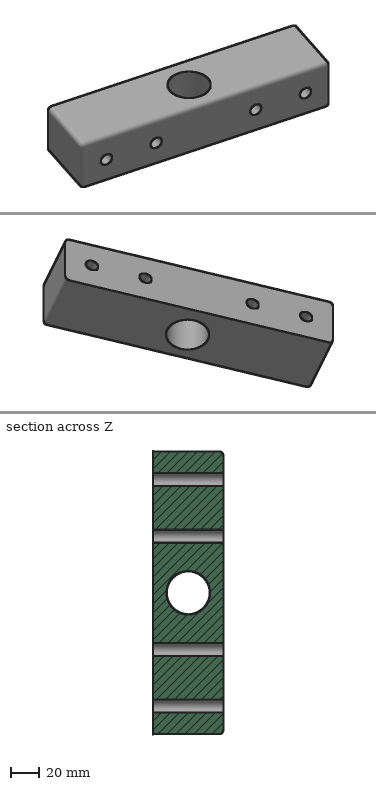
import cadquery as cq

width = 50.0
length = 200.0
height = 40.0
edge_radius = 3.5

bore_diameter = 30.5

mount_hole_diameter = 9.0
inner_hole_offset = 40.0
outer_hole_offset = 80.0


def rounded_block():
    """Block with every edge rounded except those around the mounting face."""
    block = cq.Workplane("XY").box(width, length, height)
    return block.edges("not(<X)").fillet(edge_radius)


def vertical_bore():
    return cq.Workplane("XY").circle(bore_diameter / 2).extrude(height, both=True)


def mounting_holes():
    centres = [
        (side * offset, 0)
        for side in (-1, 1)
        for offset in (inner_hole_offset, outer_hole_offset)
    ]
    return (
        cq.Workplane("YZ")
        .pushPoints(centres)
        .circle(mount_hole_diameter / 2)
        .extrude(width, both=True)
    )


result = rounded_block().cut(vertical_bore()).cut(mounting_holes())